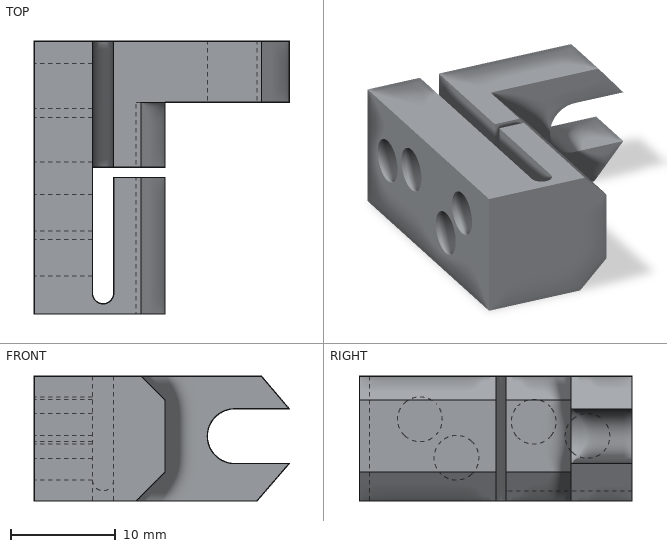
import cadquery as cq

length = 26.0
height = 11.9
reach = 24.3

block_width = 12.48
top_bevel = 2.3
bottom_bevel = 2.78

arm_thickness = 5.82
arm_top_end = 21.65
arm_bottom_end = 21.22

mouth_radius = 2.6
mouth_center_x = 19.1
mouth_center_z = 6.2

plate_thickness = 5.56
slot_width = 2.0
slot_radius = slot_width / 2
slot_web = 1.0
slot_center_x = plate_thickness + slot_radius

gap_front = 13.03
gap_rear = 14.0

hole_diameter = 4.26
hole_centers = [(21.74, 6.21), (16.61, 7.57), (9.25, 4.13), (5.77, 7.8)]


def box(x_range, y_range, z_range):
    """Box spanning the given (low, high) ranges."""
    corner = (x_range[0], y_range[0], z_range[0])
    sizes = [high - low for low, high in (x_range, y_range, z_range)]
    return cq.Workplane("XY").box(*sizes, centered=False).translate(corner)


def extrude_to_rear(profile, y_start):
    """Extrude an XZ profile along +Y from y_start to the rear face."""
    return profile.extrude(y_start - length).translate((0, y_start, 0))


def bevelled_block():
    profile = (
        cq.Workplane("XZ")
        .polyline([
            (0, 0),
            (block_width - bottom_bevel, 0),
            (block_width, bottom_bevel),
            (block_width, height - top_bevel),
            (block_width - top_bevel, height),
            (0, height),
        ])
        .close()
    )
    return extrude_to_rear(profile, 0)


def hooked_arm():
    mouth_bottom = mouth_center_z - mouth_radius
    mouth_top = mouth_center_z + mouth_radius
    arm_start = plate_thickness + slot_width
    profile = (
        cq.Workplane("XZ")
        .moveTo(arm_start, 0)
        .lineTo(arm_bottom_end, 0)
        .lineTo(reach, mouth_bottom)
        .lineTo(mouth_center_x, mouth_bottom)
        .threePointArc((mouth_center_x - mouth_radius, mouth_center_z), (mouth_center_x, mouth_top))
        .lineTo(reach, mouth_top)
        .lineTo(arm_top_end, height)
        .lineTo(arm_start, height)
        .close()
    )
    return extrude_to_rear(profile, length - arm_thickness)


def front_slot():
    """Slot through the full height, rounded at its front end."""
    end_center_y = slot_web + slot_radius
    x_range = (plate_thickness, plate_thickness + slot_width)
    straight = box(x_range, (end_center_y, gap_rear), (0, height))
    rounded_end = cq.Workplane("XY").center(slot_center_x, end_center_y).circle(slot_radius).extrude(height)
    return straight.union(rounded_end)


def rear_slot():
    """Slot open at the top and rear, with a round floor above a thin web."""
    floor_center_z = slot_web + slot_radius
    x_range = (plate_thickness, plate_thickness + slot_width)
    straight = box(x_range, (gap_rear, length), (floor_center_z, height))
    floor_profile = cq.Workplane("XZ").center(slot_center_x, floor_center_z).circle(slot_radius)
    return straight.union(extrude_to_rear(floor_profile, gap_rear))


def cross_gap():
    return box((slot_center_x, block_width), (gap_front, gap_rear), (0, height))


def plate_holes():
    return (
        cq.Workplane("YZ")
        .pushPoints(hole_centers)
        .circle(hole_diameter / 2)
        .extrude(slot_center_x)
    )


result = bevelled_block().union(hooked_arm())
for cutter in (front_slot(), rear_slot(), cross_gap(), plate_holes()):
    result = result.cut(cutter)